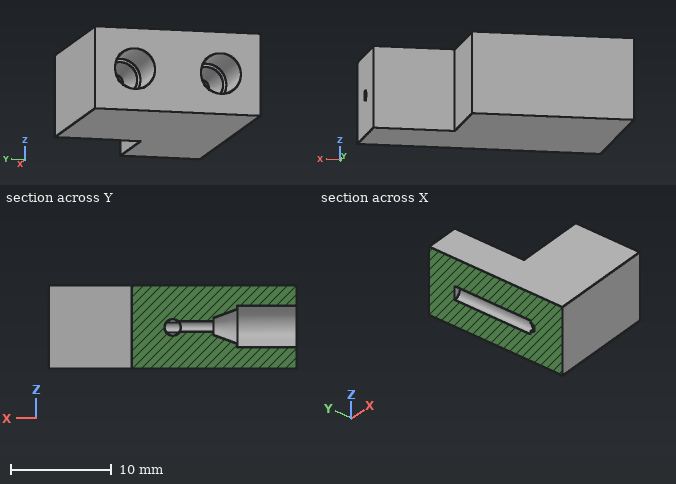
import cadquery as cq

length = 24.65
width = 17.0
height = 8.3
arm_width = 8.19
arm_length = 8.24

bore_diameter = 4.1
bore_depth = 5.92
cone_mouth_diameter = 3.43
cone_tip_diameter = 1.7
cone_depth = 2.35

channel_diameter = 1.0
cross_diameter = 1.6
cross_x = length / 2

edge_distance = arm_width / 2
main_y = edge_distance
side_y = width - edge_distance
main_z = edge_distance
side_z = 4.2


def block():
    """L-shaped plate with its lower corner at the origin."""
    outline = [
        (0, 0),
        (length, 0),
        (length, arm_width),
        (length - arm_length, arm_width),
        (length - arm_length, width),
        (0, width),
    ]
    return cq.Workplane("XY").polyline(outline).close().extrude(height)


def port_cavity(y, z):
    """Bore and cone entering along +X from the face at X = 0."""
    cone_end = bore_depth + cone_depth
    half_profile = [
        (0, 0),
        (0, bore_diameter / 2),
        (bore_depth, bore_diameter / 2),
        (bore_depth, cone_mouth_diameter / 2),
        (cone_end, cone_tip_diameter / 2),
        (cone_end, 0),
    ]
    profile = cq.Workplane("XY").polyline(half_profile).close()
    return profile.revolve(360, (0, 0, 0), (1, 0, 0)).translate((0, y, z))


def channel(y, z, end_x):
    """Round channel along X, from the face at X = 0 to end_x."""
    return cq.Workplane("YZ").center(y, z).circle(channel_diameter / 2).extrude(end_x)


def cross_passage():
    """Round passage along Y, from the main channel axis past the side channel."""
    passage_length = side_y - main_y + cross_diameter / 2
    start = cq.Workplane("XZ", origin=(cross_x, main_y, main_z))
    return start.circle(cross_diameter / 2).extrude(-passage_length)


result = (
    block()
    .cut(port_cavity(main_y, main_z))
    .cut(port_cavity(side_y, side_z))
    .cut(channel(main_y, main_z, length))
    .cut(channel(side_y, side_z, cross_x))
    .cut(cross_passage())
)